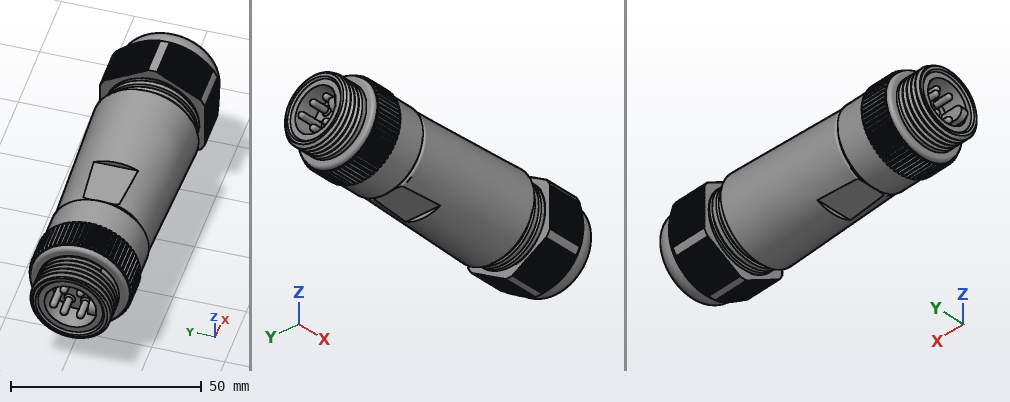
import cadquery as cq
import math


SHELL_LENGTH = 27.85
THREAD_RADIUS = 11.1
THREAD_PITCH = 25.4 / 16
THREAD_DEPTH = 0.97
THREAD_MOUTH = 1.3
THREAD_ROOT = 0.25
THREAD_FIRST = 0.8
THREAD_TURNS = 4.1
LEAD_RADIUS = 10.3
LEAD_LENGTH = 0.7
FLANGE_START = 8.2
FLANGE_ROUND = 0.95
COLLAR_RADIUS = 13.5
KNURL_RADIUS = 14.1
KNURL_START = 9.7
KNURL_END = 18.65
KNURL_CHAMFER = 0.6
KNURL_CHAMFER_DEPTH = 0.3
KNURL_COUNT = 60
TOOTH_CREST = 1 / 8
TOOTH_ROOT = 3 / 8

INSERT_RADIUS = 8.85
INSERT_RECESS = 0.55
SOCKET_RADIUS = 7.1
SOCKET_FLOOR = 7.5
INSERT_END = 14.0
KEY_WIDTH = 4.5
KEY_TIP = 0.1
KEY_INNER = 4.85

PIN_RADIUS = 1.0
PIN_ROOT_RADIUS = 1.5
PIN_CONE = PIN_ROOT_RADIUS - PIN_RADIUS
PIN_SEAT = 5.0
PIN_CIRCLE = 4.5
PIN_STEP = 60
GROUND_PIN_TIP = -0.75
LINE_PIN_TIP = 1.3

NECK_RADIUS = 12.2
SLEEVE_START = 29.0
SLEEVE_FRONT_RADIUS = 13.16
SLEEVE_ROUND = 0.5
SLEEVE_END = 70.0
SLEEVE_LIP = 0.6
SLEEVE_REAR_RADIUS = 14.53
FLAT_END = 43.0
FLAT_HEIGHT = NECK_RADIUS
CLAMP_RADIUS = 12.85
CLAMP_PITCH = 2.42
CLAMP_DEPTH = 0.9
CLAMP_MOUTH = 1.0
CLAMP_ROOT = 0.7
CLAMP_FIRST = 71.75
CLAMP_TURNS = 5.0
CLAMP_END = 87.0

NUT_START = 76.9
NUT_END = 96.81
NUT_APOTHEM = 14.27
NUT_CORNER_RADIUS = 15.95
NUT_CONE_START = 88.65
NUT_DOME_RADIUS = 13.75
NUT_DOME_ROUND = 4.56
RIBS_PER_FACE = 24
RIB_HEIGHT = 0.12
FACES = 6

CUTTER_OVERSHOOT = 0.2

AXIS_START = (0, 0, 0)
AXIS_END = (1, 0, 0)


def revolved(profile):
    """Turn a profile of (X, radius) about the X axis."""
    return profile.close().revolve(360, AXIS_START, AXIS_END)


def outline(points):
    return cq.Workplane("XY").polyline(points)


def cylinder(start, end, radius):
    return cq.Workplane("YZ").workplane(offset=start).circle(radius).extrude(end - start)


def polar(radius, degrees):
    angle = math.radians(degrees)
    return (radius * math.cos(angle), radius * math.sin(angle))


def thread_groove(radius, pitch, depth, mouth, root, first, turns):
    """Right-hand helical groove.

    It crosses the line above the axis at X = `first`, begins one turn before that place
    and ends `turns` after it.
    """
    start = first - pitch
    outer = (mouth + (mouth - root) * CUTTER_OVERSHOOT / depth) / 2
    length = (turns + 1) * pitch
    helix = cq.Wire.makeHelix(pitch, length, radius)
    profile = (
        cq.Workplane("XZ")
        .polyline([
            (radius + CUTTER_OVERSHOOT, -outer),
            (radius + CUTTER_OVERSHOOT, outer),
            (radius - depth, root / 2),
            (radius - depth, -root / 2),
        ])
        .close()
    )
    groove = profile.sweep(cq.Workplane(helix), isFrenet=True)
    return (
        groove.rotate(AXIS_START, (0, 1, 0), 90)
        .rotate(AXIS_START, AXIS_END, 180)
        .translate((start, 0, 0))
    )


def make_knurl():
    """Band of straight trapezoidal teeth with chamfered ends."""
    step = 360 / KNURL_COUNT
    teeth = []
    for i in range(KNURL_COUNT):
        middle = i * step
        teeth.append(polar(COLLAR_RADIUS, middle - TOOTH_ROOT * step))
        teeth.append(polar(KNURL_RADIUS, middle - TOOTH_CREST * step))
        teeth.append(polar(KNURL_RADIUS, middle + TOOTH_CREST * step))
        teeth.append(polar(COLLAR_RADIUS, middle + TOOTH_ROOT * step))
    band = (
        cq.Workplane("YZ")
        .workplane(offset=KNURL_START)
        .polyline(teeth)
        .close()
        .extrude(KNURL_END - KNURL_START)
    )
    end_radius = KNURL_RADIUS - KNURL_CHAMFER_DEPTH
    limits = revolved(outline([
        (KNURL_START, 0),
        (KNURL_START, end_radius),
        (KNURL_START + KNURL_CHAMFER, KNURL_RADIUS),
        (KNURL_END - KNURL_CHAMFER, KNURL_RADIUS),
        (KNURL_END, end_radius),
        (KNURL_END, 0),
    ]))
    return band.intersect(limits)


def make_shell():
    stud = revolved(outline([
        (0, 0),
        (0, LEAD_RADIUS),
        (LEAD_LENGTH, THREAD_RADIUS),
        (FLANGE_START, THREAD_RADIUS),
        (FLANGE_START, 0),
    ]))
    stud = stud.cut(thread_groove(
        THREAD_RADIUS, THREAD_PITCH, THREAD_DEPTH, THREAD_MOUTH, THREAD_ROOT, THREAD_FIRST, THREAD_TURNS
    ))
    collar = cylinder(FLANGE_START, SHELL_LENGTH, COLLAR_RADIUS).faces("<X").edges().fillet(FLANGE_ROUND)
    seat = revolved(outline([
        (0, 0),
        (0, INSERT_RADIUS + INSERT_RECESS),
        (INSERT_RECESS, INSERT_RADIUS),
        (INSERT_END, INSERT_RADIUS),
        (INSERT_END, 0),
    ]))
    return stud.union(collar).union(make_knurl()).cut(seat)


def make_pin(tip):
    """Round-tipped pin along the axis, from its tip to the end of its seat in the insert."""
    seat_end = SOCKET_FLOOR + PIN_SEAT
    return revolved(
        cq.Workplane("XY")
        .moveTo(tip, 0)
        .radiusArc((tip + PIN_RADIUS, PIN_RADIUS), PIN_RADIUS)
        .lineTo(SOCKET_FLOOR - PIN_CONE, PIN_RADIUS)
        .lineTo(SOCKET_FLOOR, PIN_ROOT_RADIUS)
        .lineTo(seat_end, PIN_ROOT_RADIUS)
        .lineTo(seat_end, 0)
    )


def make_pins():
    """Five pins on one circle, leaving the sixth place, at -Y, to the key."""
    pins = []
    for i in range(-2, 3):
        y, z = polar(PIN_CIRCLE, i * PIN_STEP)
        tip = GROUND_PIN_TIP if i == 0 else LINE_PIN_TIP
        pins.append(make_pin(tip).translate((0, y, z)))
    return pins


def make_key():
    """Round-nosed rib along the -Y side of the socket."""
    nose_centre = KEY_TIP + KEY_WIDTH / 2
    nose = cq.Workplane("XZ", origin=(0, -KEY_INNER, 0)).center(nose_centre, 0).circle(KEY_WIDTH / 2)
    reach = SOCKET_RADIUS - KEY_INNER
    body_length = SOCKET_FLOOR - nose_centre
    body = cq.Workplane("XY").box(body_length, reach, KEY_WIDTH).translate(
        (nose_centre + body_length / 2, -KEY_INNER - reach / 2, 0)
    )
    return nose.extrude(reach).union(body).intersect(cylinder(0, SOCKET_FLOOR, SOCKET_RADIUS))


def make_insert(pins):
    insert = cylinder(INSERT_RECESS, INSERT_END, INSERT_RADIUS)
    insert = insert.cut(cylinder(INSERT_RECESS, SOCKET_FLOOR, SOCKET_RADIUS)).union(make_key())
    for pin in pins:
        insert = insert.cut(pin)
    return insert


def make_housing():
    sleeve_rear = SLEEVE_END + SLEEVE_LIP
    body = revolved(
        outline([
            (SHELL_LENGTH, 0),
            (SHELL_LENGTH, NECK_RADIUS),
            (SLEEVE_START, NECK_RADIUS),
            (SLEEVE_START, SLEEVE_FRONT_RADIUS - SLEEVE_ROUND),
        ])
        .radiusArc((SLEEVE_START + SLEEVE_ROUND, SLEEVE_FRONT_RADIUS), SLEEVE_ROUND)
        .lineTo(SLEEVE_END, SLEEVE_REAR_RADIUS)
        .lineTo(sleeve_rear, SLEEVE_REAR_RADIUS)
        .lineTo(sleeve_rear, 0)
    )
    flat_length = FLAT_END - SLEEVE_START
    cut_depth = SLEEVE_REAR_RADIUS
    for side in (1, -1):
        body = body.cut(
            cq.Workplane("XY")
            .box(flat_length, 2 * SLEEVE_REAR_RADIUS, cut_depth)
            .translate((SLEEVE_START + flat_length / 2, 0, side * (FLAT_HEIGHT + cut_depth / 2)))
        )
    clamp = cylinder(sleeve_rear, CLAMP_END, CLAMP_RADIUS).cut(thread_groove(
        CLAMP_RADIUS, CLAMP_PITCH, CLAMP_DEPTH, CLAMP_MOUTH, CLAMP_ROOT, CLAMP_FIRST, CLAMP_TURNS
    ))
    return body.union(clamp)


def nut_section():
    """Hexagon with corners at +Z and -Z and fine ribs along each face."""
    half_face = math.sqrt(NUT_CORNER_RADIUS**2 - NUT_APOTHEM**2)
    half_step = math.pi / FACES
    pitch = 2 * half_face / RIBS_PER_FACE
    points = []
    for face in range(FACES):
        turn = math.radians(face * 360 / FACES)
        for i in range(2 * RIBS_PER_FACE + 1):
            along = -half_face + i * pitch / 2
            height = NUT_APOTHEM + RIB_HEIGHT * (i % 2)
            points.append((
                height * math.cos(turn) - along * math.sin(turn),
                height * math.sin(turn) + along * math.cos(turn),
            ))
        points.append(polar(NUT_APOTHEM / math.cos(half_step), math.degrees(turn + half_step)))
    return points


def make_nut():
    hexagon = (
        cq.Workplane("YZ")
        .workplane(offset=NUT_START)
        .polyline(nut_section())
        .close()
        .extrude(NUT_END - NUT_START)
    )
    cone_end = NUT_CONE_START + NUT_CORNER_RADIUS - NUT_DOME_RADIUS
    limits = revolved(
        outline([
            (NUT_START, 0),
            (NUT_START, NUT_CORNER_RADIUS),
            (NUT_CONE_START, NUT_CORNER_RADIUS),
            (cone_end, NUT_DOME_RADIUS),
            (NUT_END - NUT_DOME_ROUND, NUT_DOME_RADIUS),
        ])
        .radiusArc((NUT_END, NUT_DOME_RADIUS - NUT_DOME_ROUND), NUT_DOME_ROUND)
        .lineTo(NUT_END, 0)
    )
    return hexagon.intersect(limits).cut(cylinder(NUT_START, CLAMP_END, CLAMP_RADIUS))


pins = make_pins()
insert = make_insert(pins)
shell = make_shell()
housing = make_housing()
nut = make_nut()

result = cq.Compound.makeCompound(
    [shell.val(), insert.val(), housing.val(), nut.val()] + [pin.val() for pin in pins]
)